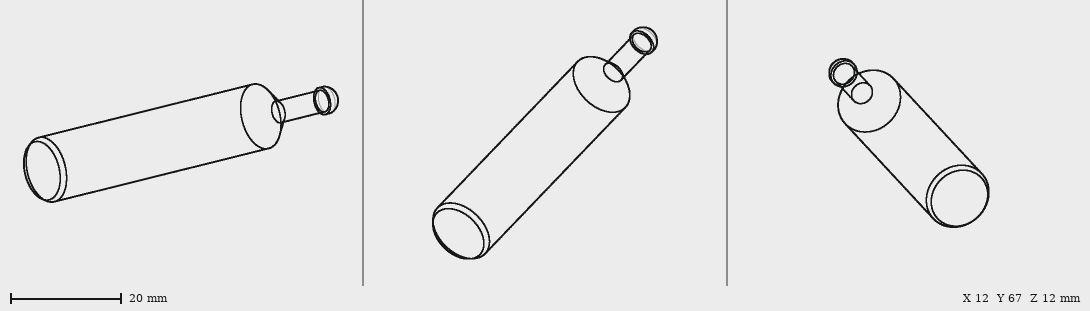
import cadquery as cq
import math

total_length = 67.0
body_diameter = 12.0
neck_diameter = 4.0
head_diameter = 5.0

end_chamfer_length = 1.0
shoulder_length = 4.0
neck_length = 10.0
head_rim_length = 1.0
dome_height = 2.0
body_length = total_length - shoulder_length - neck_length - head_rim_length - dome_height

body_radius = body_diameter / 2
neck_radius = neck_diameter / 2
head_radius = head_diameter / 2

end_chamfer_angle = 30
end_chamfer_depth = end_chamfer_length * math.tan(math.radians(end_chamfer_angle))

end_y = -total_length / 2
shoulder_y = end_y + body_length
neck_y = shoulder_y + shoulder_length
head_y = neck_y + neck_length
dome_y = head_y + head_rim_length
tip_y = dome_y + dome_height

dome_radius = (head_radius**2 + dome_height**2) / (2 * dome_height)
dome_half_angle = math.asin(head_radius / dome_radius)
dome_centre_y = tip_y - dome_radius
dome_mid_x = dome_radius * math.sin(dome_half_angle / 2)
dome_mid_y = dome_centre_y + dome_radius * math.cos(dome_half_angle / 2)

profile = (
    cq.Workplane("XY")
    .moveTo(0, end_y)
    .lineTo(body_radius - end_chamfer_depth, end_y)
    .lineTo(body_radius, end_y + end_chamfer_length)
    .lineTo(body_radius, shoulder_y)
    .lineTo(neck_radius, neck_y)
    .lineTo(neck_radius, head_y)
    .lineTo(head_radius, head_y)
    .lineTo(head_radius, dome_y)
    .threePointArc((dome_mid_x, dome_mid_y), (0, tip_y))
    .close()
)

result = profile.revolve(360, (0, 0, 0), (0, 1, 0))